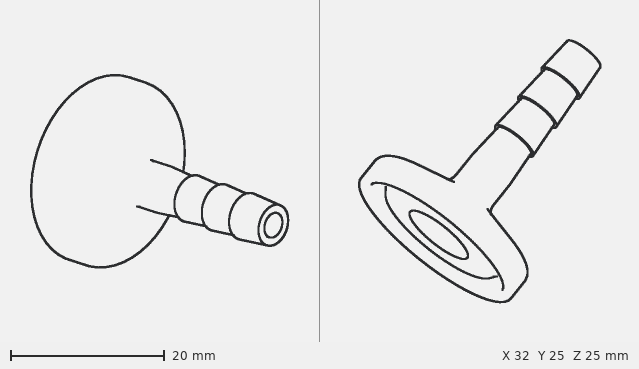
import cadquery as cq
import math

length = 32.0
flange_radius = 12.495
stem_radius = 3.15

front_edge_radius = 0.2
rim_length = 3.15
rear_edge_radius = 0.85
cone_angle = math.radians(20)
neck_fillet_radius = 2.0

barb_count = 4
barb_pitch = 5.0
barb_small_radius = 2.75

land_recess = 0.8
land_radius = 8.45
groove_outer_radius = 10.88
groove_floor_radius = 0.8
lip_radius = 0.48
flank_angle = math.radians(35)

mouth_radius = 4.77
bore_radius = 1.65
funnel_end = 8.55


def on_arc(center, radius, angle):
    """Point on a circle, with the angle measured from the X axis."""
    return (center[0] + radius * math.cos(angle), center[1] + radius * math.sin(angle))


def make_body():
    """Revolve the flange, neck and barbs about the X axis."""
    sin_cone = math.sin(cone_angle)
    cos_cone = math.cos(cone_angle)

    rear_center = (rim_length, flange_radius - rear_edge_radius)
    rear_mid = on_arc(rear_center, rear_edge_radius, (math.pi / 2 + cone_angle) / 2)
    rear_end = on_arc(rear_center, rear_edge_radius, cone_angle)

    neck_center_radius = stem_radius + neck_fillet_radius
    neck_start_radius = neck_center_radius - neck_fillet_radius * sin_cone
    neck_start_x = rear_end[0] + (rear_end[1] - neck_start_radius) * math.tan(cone_angle)
    neck_center = (neck_start_x + neck_fillet_radius * cos_cone, neck_center_radius)
    neck_mid_angle = (math.pi + cone_angle + 3 * math.pi / 2) / 2
    neck_mid = on_arc(neck_center, neck_fillet_radius, neck_mid_angle)

    front_center = (front_edge_radius, flange_radius - front_edge_radius)
    profile = (
        cq.Workplane("XY")
        .lineTo(0, front_center[1])
        .threePointArc(
            on_arc(front_center, front_edge_radius, 3 * math.pi / 4),
            (front_edge_radius, flange_radius),
        )
        .lineTo(rim_length, flange_radius)
        .threePointArc(rear_mid, rear_end)
        .lineTo(neck_start_x, neck_start_radius)
        .threePointArc(neck_mid, (neck_center[0], stem_radius))
    )
    for barb in range(barb_count):
        barb_start = length - (barb_count - barb) * barb_pitch
        profile = profile.lineTo(barb_start, stem_radius)
        profile = profile.lineTo(barb_start + barb_pitch, barb_small_radius)
    return profile.lineTo(length, 0).close().revolve(360, (0, 0, 0), (1, 0, 0))


def make_face_recess():
    """Revolved cut that sinks the land and forms the round-floored groove."""
    flank_normal = math.pi / 2 + flank_angle
    outer_lip_center = (lip_radius, groove_outer_radius + lip_radius)
    inner_lip_center = (land_recess + lip_radius, land_radius)
    flank_top = on_arc(inner_lip_center, lip_radius, flank_normal)
    inner_lip_mid = on_arc(inner_lip_center, lip_radius, (flank_normal + math.pi) / 2)

    floor_center_radius = groove_outer_radius - groove_floor_radius
    flank_foot_radius = floor_center_radius - groove_floor_radius * math.cos(flank_angle)
    flank_foot_x = flank_top[0] + (flank_foot_radius - flank_top[1]) / math.tan(flank_angle)
    floor_center_x = flank_foot_x - groove_floor_radius * math.sin(flank_angle)
    floor_deepest = (floor_center_x + groove_floor_radius, floor_center_radius)

    return (
        cq.Workplane("XY")
        .lineTo(0, outer_lip_center[1])
        .threePointArc(
            on_arc(outer_lip_center, lip_radius, 5 * math.pi / 4),
            (lip_radius, groove_outer_radius),
        )
        .lineTo(floor_center_x, groove_outer_radius)
        .threePointArc(floor_deepest, (flank_foot_x, flank_foot_radius))
        .lineTo(*flank_top)
        .threePointArc(inner_lip_mid, (land_recess, land_radius))
        .lineTo(land_recess, 0)
        .close()
        .revolve(360, (0, 0, 0), (1, 0, 0))
    )


def make_bore():
    """Funnel mouth leading into a straight through hole."""
    return (
        cq.Workplane("XY")
        .moveTo(land_recess, 0)
        .lineTo(land_recess, mouth_radius)
        .lineTo(funnel_end, bore_radius)
        .lineTo(length, bore_radius)
        .lineTo(length, 0)
        .close()
        .revolve(360, (0, 0, 0), (1, 0, 0))
    )


result = make_body().cut(make_face_recess()).cut(make_bore())